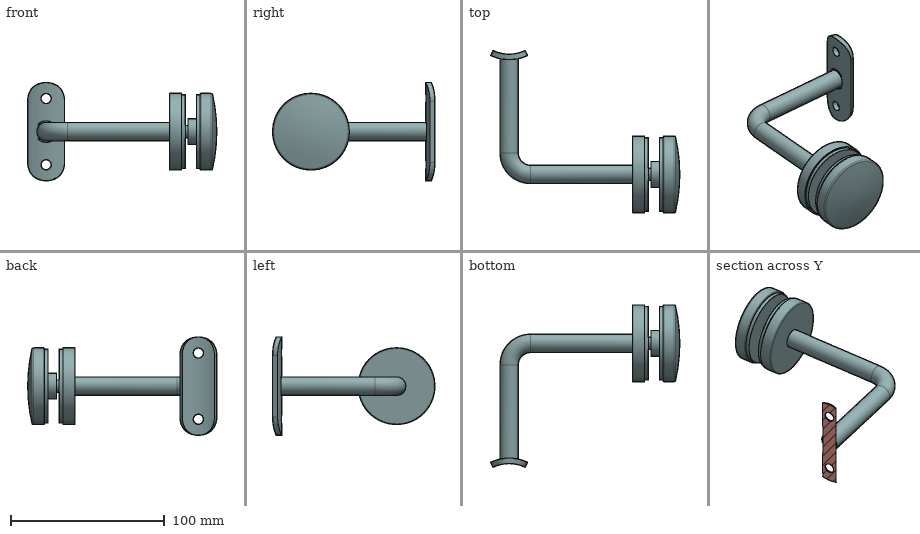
import cadquery as cq
import math


ARM_DIAMETER = 12.0
BEND_RADIUS = 14.0

PLATE_WIDTH = 24.1
PLATE_HEIGHT = 64.0
PLATE_THICKNESS = 3.7
RAIL_RADIUS = 24.1
RAIL_AXIS_Y = 102.3
PLATE_OUTER_RADIUS = RAIL_RADIUS + PLATE_THICKNESS
SCREW_HOLE_DIAMETER = 6.4
SCREW_HOLE_SPACING = 43.0

SEAT_DIAMETER = 14.0
SEAT_DEPTH = 0.5
SEAT_Y = RAIL_AXIS_Y - PLATE_OUTER_RADIUS + SEAT_DEPTH

CLAMP_DIAMETER = 49.9
DISC_THICKNESS = 7.9
GASKET_DIAMETER = 48.0
GASKET_THICKNESS = 2.5
STUD_DIAMETER = 8.1
STUD_LENGTH = 1.6
SLEEVE_DIAMETER = 17.0
SLEEVE_LENGTH = 5.7
DOME_HEIGHT = 3.0
INNER_EDGE_FILLET = 0.5
DOME_EDGE_FILLET = 1.0

DISC_X = 80.1
DISC_GASKET_X = DISC_X + DISC_THICKNESS
STUD_X = DISC_GASKET_X + GASKET_THICKNESS
SLEEVE_X = STUD_X + STUD_LENGTH
CAP_GASKET_X = SLEEVE_X + SLEEVE_LENGTH
CAP_X = CAP_GASKET_X + GASKET_THICKNESS


def cylinder_along_x(diameter, start_x, length):
    return cq.Workplane("YZ", origin=(start_x, 0, 0)).circle(diameter / 2).extrude(length)


def cylinder_along_y(diameter, start_y, end_y, z=0):
    return cq.Workplane("XZ", origin=(0, start_y, z)).circle(diameter / 2).extrude(start_y - end_y)


def rail_cylinder(radius):
    return (
        cq.Workplane("XY", origin=(0, RAIL_AXIS_Y, -PLATE_HEIGHT / 2))
        .circle(radius)
        .extrude(PLATE_HEIGHT)
    )


def make_plate_outline():
    """Round-ended wedge whose sides converge on the rail axis, so the plate edges are radial."""
    half_width = PLATE_WIDTH / 2
    half_straight = PLATE_HEIGHT / 2 - half_width
    edge_depth = math.sqrt(PLATE_OUTER_RADIUS**2 - half_width**2)
    near_depth = RAIL_RADIUS / 2
    far_depth = PLATE_OUTER_RADIUS + PLATE_THICKNESS

    def section(depth):
        half = half_width * depth / edge_depth
        return (
            cq.Workplane("XZ", origin=(0, RAIL_AXIS_Y - depth, 0))
            .moveTo(half, -half_straight)
            .lineTo(half, half_straight)
            .ellipseArc(half, half_width, 0, 180, startAtCurrent=True)
            .lineTo(-half, -half_straight)
            .ellipseArc(half, half_width, 180, 360, startAtCurrent=True)
            .wire()
            .val()
        )

    return cq.Workplane(cq.Solid.makeLoft([section(near_depth), section(far_depth)], True))


def make_saddle_plate():
    plate = rail_cylinder(PLATE_OUTER_RADIUS).cut(rail_cylinder(RAIL_RADIUS))
    plate = plate.intersect(make_plate_outline())
    for side in (-1, 1):
        plate = plate.cut(
            cylinder_along_y(SCREW_HOLE_DIAMETER, 0, RAIL_AXIS_Y, side * SCREW_HOLE_SPACING / 2)
        )
    return plate.cut(cylinder_along_y(SEAT_DIAMETER, 0, SEAT_Y))


def make_arm():
    bend_middle = BEND_RADIUS * (1 - math.sqrt(0.5))
    path = (
        cq.Workplane("XY")
        .moveTo(0, SEAT_Y)
        .lineTo(0, BEND_RADIUS)
        .threePointArc((bend_middle, bend_middle), (BEND_RADIUS, 0))
        .lineTo(DISC_X, 0)
    )
    return cq.Workplane("XZ", origin=(0, SEAT_Y, 0)).circle(ARM_DIAMETER / 2).sweep(path)


def make_clamp_disc():
    disc = cylinder_along_x(CLAMP_DIAMETER, DISC_X, DISC_THICKNESS)
    return disc.faces("<X").edges().fillet(INNER_EDGE_FILLET)


def make_gasket(start_x):
    return cylinder_along_x(GASKET_DIAMETER, start_x, GASKET_THICKNESS)


def make_stud():
    return cylinder_along_x(STUD_DIAMETER, STUD_X, STUD_LENGTH)


def make_sleeve():
    return cylinder_along_x(SLEEVE_DIAMETER, SLEEVE_X, SLEEVE_LENGTH)


def make_domed_cap():
    rim_radius = CLAMP_DIAMETER / 2
    rim_x = CAP_X + DISC_THICKNESS
    dome_radius = (rim_radius**2 + DOME_HEIGHT**2) / (2 * DOME_HEIGHT)
    dome_center_x = rim_x + DOME_HEIGHT - dome_radius
    half_angle = math.asin(rim_radius / dome_radius) / 2
    dome_middle = (
        dome_center_x + dome_radius * math.cos(half_angle),
        dome_radius * math.sin(half_angle),
    )
    cap = (
        cq.Workplane("XY")
        .moveTo(CAP_X, 0)
        .lineTo(CAP_X, rim_radius)
        .lineTo(rim_x, rim_radius)
        .threePointArc(dome_middle, (rim_x + DOME_HEIGHT, 0))
        .close()
        .revolve(360, (0, 0, 0), (1, 0, 0))
    )
    cap = cap.faces("%CYLINDER").edges(">X").fillet(DOME_EDGE_FILLET)
    return cap.faces("<X").edges().fillet(INNER_EDGE_FILLET)


saddle_plate = make_saddle_plate()
arm = make_arm()
clamp_disc = make_clamp_disc()
gaskets = [make_gasket(start_x) for start_x in (DISC_GASKET_X, CAP_GASKET_X)]
stud = make_stud()
sleeve = make_sleeve()
domed_cap = make_domed_cap()

result = cq.Compound.makeCompound(
    [
        saddle_plate.val(),
        arm.val(),
        clamp_disc.val(),
        *[gasket.val() for gasket in gaskets],
        stud.val(),
        sleeve.val(),
        domed_cap.val(),
    ]
)